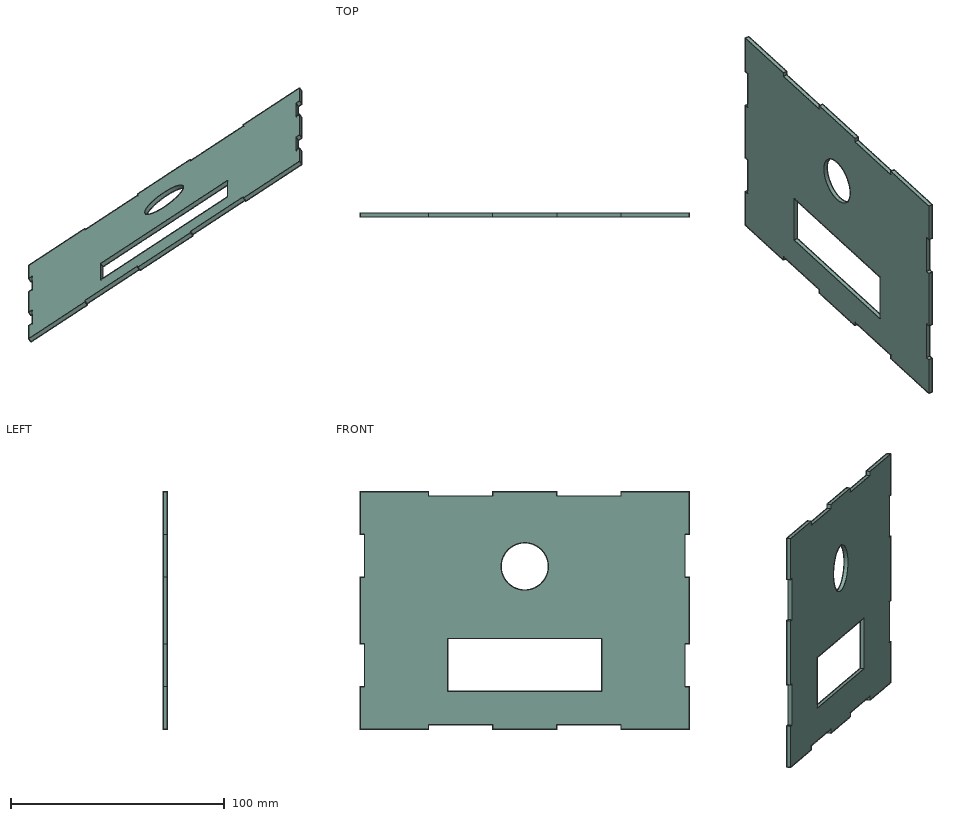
import cadquery as cq

width = 154.0
height = 111.2
thickness = 2.0

notch_depth = 2.0
long_edge_notch = 30.0
long_edge_middle_tab = 30.0
short_edge_notch = 20.0
short_edge_middle_tab = 31.2

hole_diameter = 22.0
hole_center_z = 20.6

window_width = 72.0
window_height = 24.6
window_bottom_margin = 17.8
window_center_z = -height / 2 + window_bottom_margin + window_height / 2


def through_box(size_x, size_z, center_x, center_z):
    """Box as thick as the panel, used to cut a rectangle through it."""
    return cq.Workplane("XY").box(size_x, thickness, size_z).translate((center_x, 0, center_z))


def cut_edge_notches(panel):
    """Cut two notches into each of the four edges."""
    offset_x = (long_edge_middle_tab + long_edge_notch) / 2
    offset_z = (short_edge_middle_tab + short_edge_notch) / 2
    edge_x = (width - notch_depth) / 2
    edge_z = (height - notch_depth) / 2
    for side_x in (-1, 1):
        for side_z in (-1, 1):
            long_notch = through_box(long_edge_notch, notch_depth, side_x * offset_x, side_z * edge_z)
            short_notch = through_box(notch_depth, short_edge_notch, side_x * edge_x, side_z * offset_z)
            panel = panel.cut(long_notch).cut(short_notch)
    return panel


def cut_round_opening(panel):
    """Cut the round opening through the panel."""
    opening = (
        cq.Workplane("XZ")
        .center(0, hole_center_z)
        .circle(hole_diameter / 2)
        .extrude(thickness / 2, both=True)
    )
    return panel.cut(opening)


def cut_window(panel):
    """Cut the rectangular window through the panel."""
    return panel.cut(through_box(window_width, window_height, 0, window_center_z))


panel = cq.Workplane("XY").box(width, thickness, height)
panel = cut_edge_notches(panel)
panel = cut_round_opening(panel)
result = cut_window(panel)